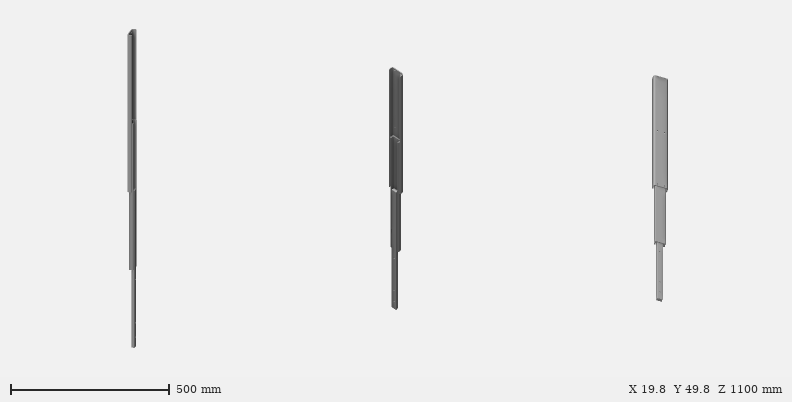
import cadquery as cq


rail_length = 550.0
extension = rail_length
total_depth = 19.75

outer_width = 49.77
outer_depth = 16.0
outer_wall = 3.0
outer_corner_radius = 6.0
outer_bottom = extension
bulge_height = 0.7
bulge_back = outer_corner_radius
bulge_front = 14.0
outer_side = outer_width / 2 - bulge_height

middle_width = 36.0
middle_web = 3.0
middle_side_wall = 4.5
middle_back = 4.0
middle_front = 18.0
middle_corner_radius = 2.2
middle_lip_radius = 2.0
middle_bottom = extension / 2
middle_length = 512.0

inner_width = 19.0
inner_back = 10.0
inner_edge_radius = 0.5
inner_bottom = 0.0

ball_radius = 3.4
track_depth = 1.6
outer_track_x = (bulge_back + bulge_front) / 2
inner_track_x = 13.3

outer_hole_diameter = 5.5
outer_hole_pitch = 23.5
outer_hole_end_offset = 7.5
inner_hole_diameter = 4.5
inner_hole_heights = [35.0, 85.0, 236.0]


def bar(back, front, width, bottom, length):
    """A rectangular bar along Z, centred on Y = 0."""
    return (
        cq.Workplane("XY", origin=(0, 0, bottom))
        .center((back + front) / 2, 0)
        .rect(front - back, width)
        .extrude(length)
    )


def cut_tracks(body, x, groove_bottom, facing, bottom, length):
    """Cut a pair of ball tracks at depth x whose deepest lines lie at Y = +-groove_bottom.

    facing is 1 for grooves in faces that look away from Y = 0, -1 for faces that look towards it.
    """
    centre = groove_bottom + facing * ball_radius
    rods = (
        cq.Workplane("XY", origin=(0, 0, bottom))
        .pushPoints([(x, -centre), (x, centre)])
        .circle(ball_radius)
        .extrude(length)
    )
    return body.cut(rods)


def cut_holes(body, positions, diameter):
    """Drill holes along X through a rail, at (y, z) positions."""
    return body.cut(cq.Workplane("YZ").pushPoints(positions).circle(diameter / 2).extrude(total_depth))


def side_bulge():
    """The shallow arched strip on the -Y side of the outer rail."""
    return (
        cq.Workplane("XY", origin=(0, 0, outer_bottom))
        .moveTo(bulge_back, -outer_side)
        .threePointArc((outer_track_x, -outer_width / 2), (bulge_front, -outer_side))
        .lineTo(bulge_front, -outer_side + outer_wall / 2)
        .lineTo(bulge_back, -outer_side + outer_wall / 2)
        .close()
        .extrude(rail_length)
    )


def make_outer():
    body = bar(0, outer_depth, 2 * outer_side, outer_bottom, rail_length)
    body = body.edges("|Z and <X").fillet(outer_corner_radius)
    body = body.union(side_bulge()).union(side_bulge().mirror("XZ"))
    hollow_half = outer_side - outer_wall
    hollow = bar(outer_wall, outer_depth, 2 * hollow_half, outer_bottom, rail_length)
    body = body.cut(hollow.edges("|Z and <X").fillet(outer_corner_radius - outer_wall))
    body = cut_tracks(body, outer_track_x, hollow_half + track_depth, -1, outer_bottom, rail_length)
    heights = [
        outer_bottom + outer_hole_end_offset,
        outer_bottom + rail_length / 2,
        outer_bottom + rail_length - outer_hole_end_offset,
    ]
    spots = [(side * outer_hole_pitch / 2, z) for side in (-1, 1) for z in heights]
    return cut_holes(body, spots, outer_hole_diameter)


def make_middle():
    half_width = middle_width / 2
    hollow_half = half_width - middle_side_wall
    body = bar(middle_back, middle_front, middle_width, middle_bottom, middle_length)
    body = body.edges("|Z and <X").fillet(middle_corner_radius)
    body = body.edges("|Z and >X").fillet(middle_lip_radius)
    hollow_back = middle_back + middle_web
    body = body.cut(bar(hollow_back, middle_front, 2 * hollow_half, middle_bottom, middle_length))
    body = cut_tracks(body, outer_track_x, half_width - track_depth, 1, middle_bottom, middle_length)
    return cut_tracks(body, inner_track_x, hollow_half + track_depth, -1, middle_bottom, middle_length)


def make_inner():
    body = bar(inner_back, total_depth, inner_width, inner_bottom, rail_length)
    body = body.edges("|Z").fillet(inner_edge_radius)
    body = cut_tracks(body, inner_track_x, inner_width / 2 - track_depth, 1, inner_bottom, rail_length)
    return cut_holes(body, [(0, z) for z in inner_hole_heights], inner_hole_diameter)


outer_rail = make_outer()
middle_rail = make_middle()
inner_rail = make_inner()

result = cq.Compound.makeCompound([outer_rail.val(), middle_rail.val(), inner_rail.val()])